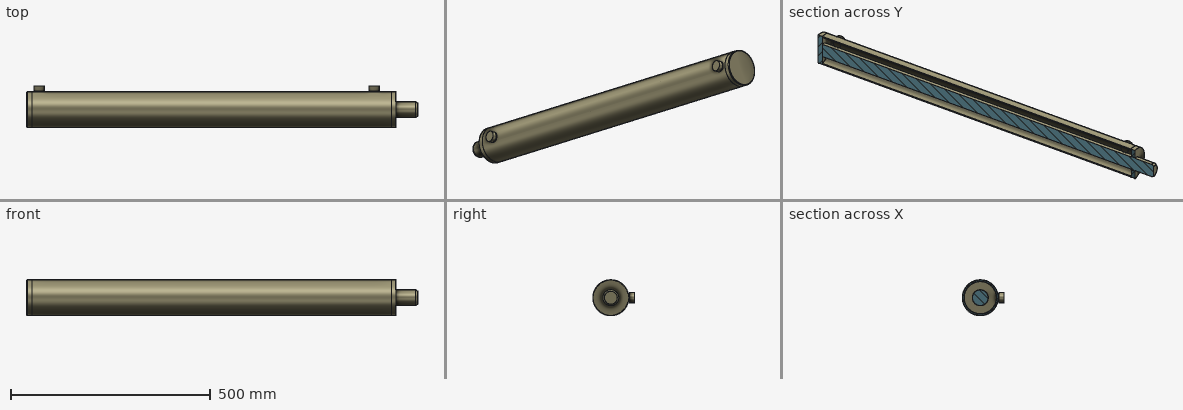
import cadquery as cq

overall_length = 980.0
barrel_diameter = 90.0
barrel_end_x = 925.0
bore_diameter = 80.0
cap_length = 14.0
gland_length = 12.0
cap_chamfer = 2.0

rod_diameter = 40.0
rod_chamfer_length = 6.0
rod_chamfer_depth = 4.0

port_positions_x = (31.0, 870.0)
port_diameter = 26.0
port_neck_diameter = 22.0
port_outer_y = 60.0
port_collar_height = 13.0

gland_start_x = barrel_end_x - gland_length
tube_length = gland_start_x - cap_length


def axial_cylinder(start_x, length, diameter):
    """Solid cylinder along X, centred on the axis."""
    return cq.Workplane("YZ", origin=(start_x, 0, 0)).circle(diameter / 2).extrude(length)


def radial_cylinder(x, start_y, end_y, diameter):
    """Solid cylinder along +Y at the given axial position."""
    return cq.Workplane("XZ", origin=(x, start_y, 0)).circle(diameter / 2).extrude(start_y - end_y)


def make_end_cap():
    """Disc closing the tube, with its outer rim chamfered."""
    cap = axial_cylinder(0, cap_length, barrel_diameter)
    return cap.faces("<X").chamfer(cap_chamfer)


def make_tube():
    """Hollow barrel with a port hole through the +Y wall under each port."""
    tube = axial_cylinder(cap_length, tube_length, barrel_diameter)
    tube = tube.cut(axial_cylinder(cap_length, tube_length, bore_diameter))
    for x in port_positions_x:
        tube = tube.cut(radial_cylinder(x, 0, port_outer_y, port_neck_diameter))
    return tube


def make_gland():
    """Ring at the open end that guides the rod."""
    ring = axial_cylinder(gland_start_x, gland_length, barrel_diameter)
    return ring.cut(axial_cylinder(gland_start_x, gland_length, rod_diameter))


def make_rod():
    """Rod running from the end cap through the gland, with a chamfered tip."""
    rod_radius = rod_diameter / 2
    tip_start_x = overall_length - rod_chamfer_length
    profile = [
        (cap_length, 0),
        (cap_length, rod_radius),
        (tip_start_x, rod_radius),
        (overall_length, rod_radius - rod_chamfer_depth),
        (overall_length, 0),
    ]
    return cq.Workplane("XY").polyline(profile).close().revolve(360, (0, 0, 0), (1, 0, 0))


def make_port(x):
    """Collar on a narrower neck that fills the hole in the tube wall."""
    collar = radial_cylinder(x, port_outer_y - port_collar_height, port_outer_y, port_diameter)
    neck = radial_cylinder(x, 0, port_outer_y, port_neck_diameter)
    neck = neck.cut(axial_cylinder(0, overall_length, bore_diameter))
    return collar.union(neck)


end_cap = make_end_cap()
tube = make_tube()
gland = make_gland()
rod = make_rod()
ports = [make_port(x) for x in port_positions_x]

result = cq.Compound.makeCompound(
    [end_cap.val(), tube.val(), gland.val(), rod.val(), *[port.val() for port in ports]]
)